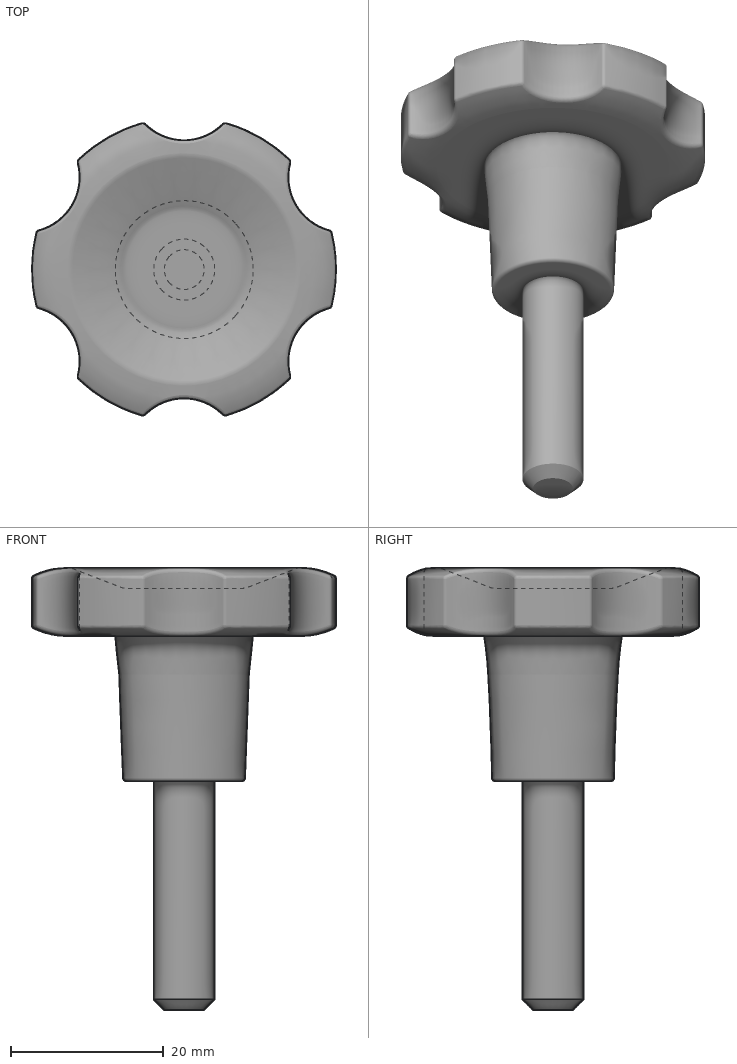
import cadquery as cq
import math

total_height = 58.0
head_height = 9.0
hub_bottom = 30.0
head_bottom = total_height - head_height

head_radius = 19.95
crown_radius = 15.25
crown_drop = 1.15
lobe_count = 6
scallop_radius = 7.2
scallop_floor = 16.95
edge_round = 0.5

dish_rim_radius = 14.9
dish_floor_radius = 8.0
dish_depth = 2.65
dish_round = 1.4

hub_top_radius = 9.05
hub_waist_radius = 8.5
hub_waist_height = 44.0
hub_bottom_radius = 8.0
hub_edge_round = 0.45

stud_diameter = 8.0
stud_radius = stud_diameter / 2
tip_chamfer = 1.4


def crown_middle(end_height, direction):
    """Middle point of a crown arc that leaves the flat end tangentially."""
    span = head_radius - crown_radius
    arc_radius = (span**2 + crown_drop**2) / (2 * crown_drop)
    half_angle = math.atan2(crown_drop, span)
    radius = crown_radius + arc_radius * math.sin(half_angle)
    height = end_height + direction * arc_radius * (1 - math.cos(half_angle))
    return radius, height


def make_head():
    """Crowned disc with scallops cut around its rim and all rim edges rounded."""
    head = (
        cq.Workplane("XZ")
        .moveTo(0, head_bottom)
        .lineTo(crown_radius, head_bottom)
        .threePointArc(crown_middle(head_bottom, 1), (head_radius, head_bottom + crown_drop))
        .lineTo(head_radius, total_height - crown_drop)
        .threePointArc(crown_middle(total_height, -1), (crown_radius, total_height))
        .lineTo(0, total_height)
        .close()
        .revolve(360, (0, 0), (0, 1))
    )
    scallops = (
        cq.Workplane("XY", origin=(0, 0, head_bottom))
        .polarArray(scallop_floor + scallop_radius, 180 / lobe_count, 360, lobe_count)
        .circle(scallop_radius)
        .extrude(head_height)
    )
    head = head.cut(scallops)
    outer_edges = cq.selectors.StringSyntaxSelector("not(<Z or >Z)")
    return head.edges(outer_edges).fillet(edge_round)


def make_dish():
    """Conical recess with a flat floor and rounded floor edge."""
    return (
        cq.Workplane("XZ")
        .moveTo(0, total_height - dish_depth)
        .lineTo(dish_floor_radius, total_height - dish_depth)
        .lineTo(dish_rim_radius, total_height)
        .lineTo(0, total_height)
        .close()
        .revolve(360, (0, 0), (0, 1))
        .faces("<Z")
        .edges()
        .fillet(dish_round)
    )


def make_hub():
    """Tapered neck that flares where it meets the head."""
    return (
        cq.Workplane("XZ")
        .moveTo(0, hub_bottom)
        .lineTo(hub_bottom_radius, hub_bottom)
        .lineTo(hub_waist_radius, hub_waist_height)
        .lineTo(hub_top_radius, head_bottom)
        .lineTo(0, head_bottom)
        .close()
        .revolve(360, (0, 0), (0, 1))
        .faces("<Z")
        .edges()
        .fillet(hub_edge_round)
    )


def make_stud():
    """Plain stud with a chamfered tip."""
    return cq.Workplane("XY").circle(stud_radius).extrude(hub_bottom).faces("<Z").chamfer(tip_chamfer)


dished_head = make_head().cut(make_dish())
dished_head = dished_head.edges(">Z").edges(cq.selectors.RadiusNthSelector(0)).fillet(dish_round)
result = dished_head.union(make_hub()).union(make_stud())